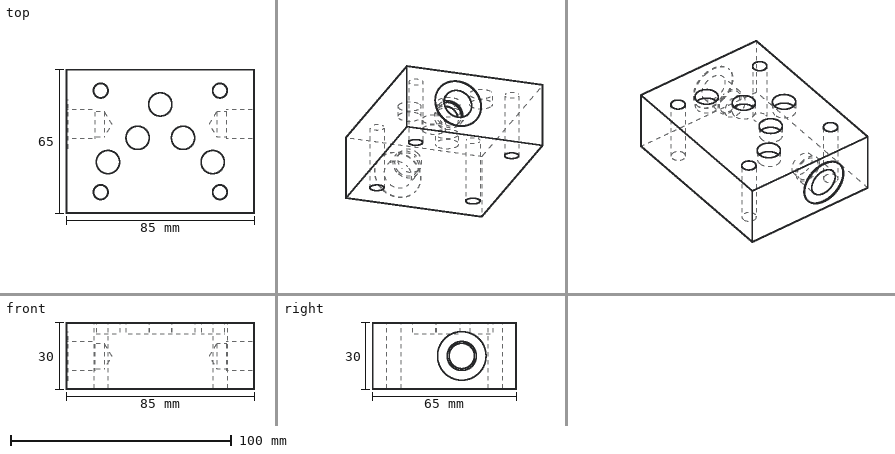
import cadquery as cq
import math

length = 85.0
width = 65.0
height = 30.0

mount_diameter = 6.5
mount_pitch_x = 54.0
mount_pitch_y = 46.0

flow_diameter = 10.5
flow_depth = 5.0
flow_apex_y = 16.75
flow_inner_x = 10.3
flow_inner_y = 1.6
flow_outer_x = 23.7
flow_outer_y = -9.35

port_y = 7.9
spotface_diameter = 22.0
spotface_depth = 0.5
thread_diameter = 13.2
thread_depth = 12.75
core_diameter = 11.5
core_depth = 17.0
drill_point_angle = 118.0


def make_block():
    return cq.Workplane("XY").box(length, width, height)


def drill_top(body, centres, diameter, depth):
    """Cut flat-bottomed round holes down from the top face."""
    cutter = (
        cq.Workplane("XY", origin=(0, 0, height / 2))
        .pushPoints(centres)
        .circle(diameter / 2)
        .extrude(-depth)
    )
    return body.cut(cutter)


def make_port():
    """Solid of revolution for the port on the -X face, turned about a line along X."""
    point_length = core_diameter / 2 / math.tan(math.radians(drill_point_angle / 2))
    return (
        cq.Workplane("XY", origin=(-length / 2, port_y, 0))
        .lineTo(0, spotface_diameter / 2)
        .lineTo(spotface_depth, spotface_diameter / 2)
        .lineTo(spotface_depth, thread_diameter / 2)
        .lineTo(thread_depth, thread_diameter / 2)
        .lineTo(thread_depth, core_diameter / 2)
        .lineTo(core_depth, core_diameter / 2)
        .lineTo(core_depth + point_length, 0)
        .close()
        .revolve(360, (0, 0, 0), (1, 0, 0))
    )


mount_centres = [
    (side_x * mount_pitch_x / 2, side_y * mount_pitch_y / 2)
    for side_x in (-1, 1)
    for side_y in (-1, 1)
]

flow_centres = [
    (0, flow_apex_y),
    (-flow_inner_x, flow_inner_y),
    (flow_inner_x, flow_inner_y),
    (-flow_outer_x, flow_outer_y),
    (flow_outer_x, flow_outer_y),
]

result = drill_top(make_block(), mount_centres, mount_diameter, height)
result = drill_top(result, flow_centres, flow_diameter, flow_depth)

port = make_port()
result = result.cut(port).cut(port.mirror("YZ"))